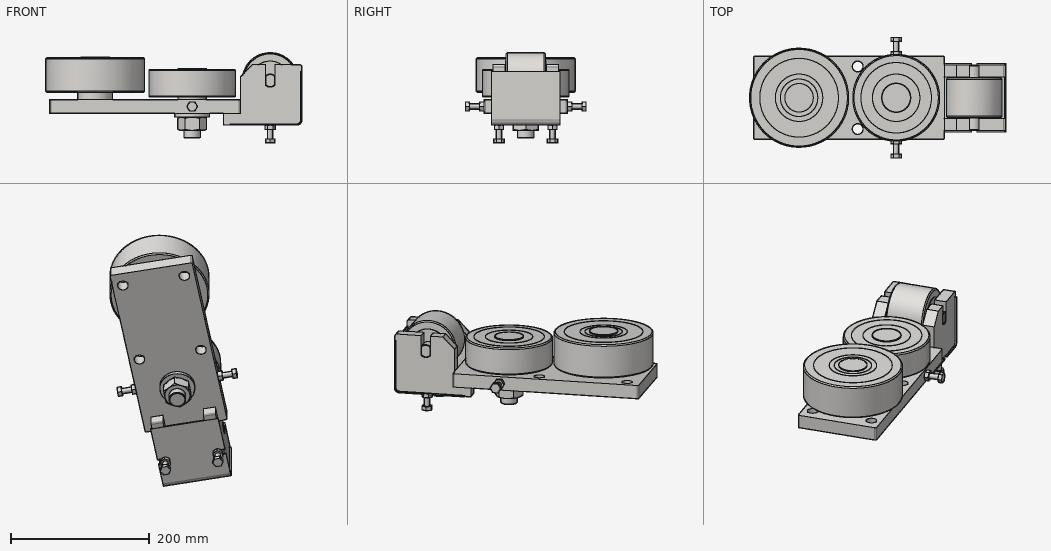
import cadquery as cq
import math


plate_start_x = 6.0
plate_end_x = 281.0
plate_width = 120.0
plate_thickness = 20.0
plate_bottom_z = 42.5
plate_top_z = plate_bottom_z + plate_thickness
plate_corner_radius = 2.2
mounting_hole_diameter = 15.0
mounting_hole_spacing_x = 129.7
mounting_hole_last_x = 156.0
mounting_hole_y = 45.0

arm_end_x = 369.5
arm_foot_x = 256.5
arm_bottom_z = 25.5
arm_top_z = 112.7
arm_outer_width = 94.5
arm_gap = 59.0
arm_chamfer = 17.5
arm_top_radius = 3.5
arm_toe_radius = 1.5

axle_x = 323.8
axle_z = 89.8
axle_diameter = 19.0
axle_flat_width = 13.5
axle_length = 93.0
axle_chamfer = 0.7

roller_diameter = 80.5
roller_width = 57.0
roller_hub_diameter = 56.0
roller_hub_width = 58.0

guard_thickness = 2.0
guard_width = 99.0
guard_start_x = 265.7
guard_top_z = 103.0
guard_bend_radius = 7.5

rim_chamfer = 2.0
face_step = 0.5
bearing_ring_diameter = 68.5
pin_diameter = 41.0
pin_rise = 1.0

large_wheel_diameter = 143.0
large_wheel_x = large_wheel_diameter / 2
large_wheel_bottom_z = 72.8
large_wheel_width = 50.0
large_cover_diameter = 113.5
large_stud_diameter = 50.5
large_bore_diameter = 54.0

small_wheel_diameter = 125.3
small_wheel_x = 211.5
small_wheel_bottom_z = 65.8
small_wheel_width = 40.3
small_cover_diameter = 101.5
small_bore_diameter = 42.0

stud_diameter = 24.0
stud_end_z = 7.0
stud_end_chamfer = 1.0
washer_diameter = 50.5
washer_thickness = 5.5
nut_across_flats = 36.2
nut_height = 19.0

screw_diameter = 8.0
screw_across_flats = 13.3
screw_head_height = 6.0
lock_nut_height = 6.3
side_screw_span = 174.0
side_screw_head_y = side_screw_span / 2
arm_screw_y = 38.5


def cylinder(diameter, height, x, z):
    return cq.Workplane("XY", origin=(x, 0, z)).circle(diameter / 2).extrude(height)


def cross_cylinder(diameter, length):
    """Cylinder along Y on the roller axis, centred on the plane of symmetry."""
    end_plane = cq.Workplane("XZ", origin=(axle_x, length / 2, axle_z))
    return end_plane.circle(diameter / 2).extrude(length)


def hexagon(across_flats, height, turn=0):
    """Hexagonal prism on Z = 0 with two corners on the X axis before it is turned about Z."""
    corner_diameter = 2 * across_flats / math.sqrt(3)
    prism = cq.Workplane("XY").polygon(6, corner_diameter).extrude(height)
    return prism.rotate((0, 0, 0), (0, 0, 1), turn)


def hex_nut(across_flats, height, bevelled_faces):
    """Hexagon whose corners are bevelled down to the flats at the chosen end faces."""
    corner_radius = across_flats / math.sqrt(3)
    bevel_depth = corner_radius - across_flats / 2
    bevel_height = bevel_depth / math.sqrt(3)
    envelope = cq.Workplane("XY").circle(corner_radius).extrude(height)
    envelope = envelope.faces(bevelled_faces).chamfer(bevel_height, bevel_depth)
    return hexagon(across_flats, height).intersect(envelope)


def adjusting_screw(length, seat, head_turn):
    """Screw along +Z: head on Z = 0, tip at `length`, lock nut ending at `seat`."""
    head = hexagon(screw_across_flats, screw_head_height, head_turn)
    shank = cq.Workplane("XY").circle(screw_diameter / 2).extrude(length)
    lock_nut = hex_nut(screw_across_flats, lock_nut_height, ">Z").translate((0, 0, seat - lock_nut_height))
    return head.union(shank).union(lock_nut)


def make_plate():
    length = plate_end_x - plate_start_x
    plate = cq.Workplane("XY", origin=(plate_start_x, 0, plate_bottom_z))
    plate = plate.box(length, plate_width, plate_thickness, centered=(False, True, False))
    plate = plate.edges("|Z").fillet(plate_corner_radius)
    mounting_holes = [
        (x, y)
        for x in (mounting_hole_last_x - mounting_hole_spacing_x, mounting_hole_last_x)
        for y in (-mounting_hole_y, mounting_hole_y)
    ]
    drills = cq.Workplane("XY", origin=(0, 0, plate_bottom_z)).pushPoints(mounting_holes)
    plate = plate.cut(drills.circle(mounting_hole_diameter / 2).extrude(plate_thickness))
    return plate.cut(cylinder(stud_diameter, plate_thickness, small_wheel_x, plate_bottom_z))


def make_arms():
    """Both arms: one L-shaped outline with an axle slot, split by the gap between the arms."""
    outline = (
        cq.Workplane("XZ")
        .moveTo(arm_foot_x, arm_bottom_z)
        .lineTo(arm_end_x, arm_bottom_z)
        .lineTo(arm_end_x, arm_top_z)
        .lineTo(plate_end_x + arm_chamfer, arm_top_z)
        .lineTo(plate_end_x, arm_top_z - arm_chamfer)
        .lineTo(plate_end_x, plate_bottom_z)
        .lineTo(arm_foot_x, plate_bottom_z)
        .close()
    )
    block = outline.extrude(arm_outer_width / 2, both=True)
    block = block.edges("|Y and >X and >Z").fillet(arm_top_radius)
    block = block.edges("|Y and <X and <Z").fillet(arm_toe_radius)
    gap = cq.Workplane("XY", origin=(arm_foot_x, 0, arm_bottom_z)).box(
        arm_end_x - arm_foot_x, arm_gap, arm_top_z - arm_bottom_z, centered=(False, True, False)
    )
    slot = cq.Workplane("XY", origin=(axle_x, 0, axle_z)).box(
        axle_flat_width, arm_outer_width, arm_top_z - axle_z, centered=(True, True, False)
    )
    return block.cut(gap).cut(slot).cut(axle_bar(arm_outer_width))


def axle_bar(length):
    """Round bar along Y with two flats that guide it in the slots."""
    flats = cq.Workplane("XY", origin=(axle_x, 0, axle_z)).box(axle_flat_width, length, axle_diameter)
    return cross_cylinder(axle_diameter, length).intersect(flats)


def make_guard_blank():
    """Bent sheet before notching, with the bend at the lower back corner."""
    inner_radius = guard_bend_radius - guard_thickness
    outline = (
        cq.Workplane("XZ")
        .moveTo(guard_start_x, arm_bottom_z)
        .lineTo(arm_end_x - guard_bend_radius, arm_bottom_z)
        .radiusArc((arm_end_x, arm_bottom_z + guard_bend_radius), -guard_bend_radius)
        .lineTo(arm_end_x, guard_top_z)
        .lineTo(arm_end_x - guard_thickness, guard_top_z)
        .lineTo(arm_end_x - guard_thickness, arm_bottom_z + guard_bend_radius)
        .radiusArc((arm_end_x - guard_bend_radius, arm_bottom_z + guard_thickness), inner_radius)
        .lineTo(guard_start_x, arm_bottom_z + guard_thickness)
        .close()
    )
    return outline.extrude(guard_width / 2, both=True)


def make_guard():
    """Guard sheet with a notch from each side edge that clears an arm screw."""
    guard = make_guard_blank()
    for side in (-1, 1):
        notch = cq.Workplane("XY", origin=(axle_x, side * guard_width / 2, arm_bottom_z)).slot2D(
            guard_width - 2 * arm_screw_y + screw_diameter, screw_diameter, 90
        )
        guard = guard.cut(notch.extrude(guard_thickness))
    return guard


def guard_recess():
    """Space the guard takes out of the arms, including the corner outside its bend."""
    corner = cq.Workplane("XY", origin=(arm_end_x - guard_bend_radius, 0, arm_bottom_z)).box(
        guard_bend_radius, guard_width, guard_bend_radius, centered=(False, True, False)
    )
    bend = cq.Workplane("XZ", origin=(arm_end_x - guard_bend_radius, 0, arm_bottom_z + guard_bend_radius))
    corner = corner.cut(bend.circle(guard_bend_radius).extrude(guard_width / 2, both=True))
    return make_guard_blank().union(corner)


def make_frame():
    """Plate, arms and their adjusting screws as one welded body."""
    frame = make_plate().union(make_arms().cut(guard_recess()))

    arm_screw = adjusting_screw(plate_bottom_z, arm_bottom_z, 90)
    for side in (-1, 1):
        frame = frame.union(arm_screw.translate((axle_x, side * arm_screw_y, 0)))

    seat = side_screw_head_y - plate_width / 2
    side_screw = adjusting_screw(seat + lock_nut_height, seat, 0)
    side_screw = side_screw.rotate((0, 0, 0), (1, 0, 0), -90)
    plate_middle_z = plate_bottom_z + plate_thickness / 2
    side_screw = side_screw.translate((small_wheel_x, -side_screw_head_y, plate_middle_z))
    return frame.union(side_screw).union(side_screw.mirror("XZ"))


def wheel(diameter, width, cover_diameter, bore_diameter, x, bottom_z):
    """Wheel with a shallow cover recess, a bearing ring and a raised pin end on its top face."""
    top_z = bottom_z + width
    floor_z = top_z - face_step
    body = cylinder(diameter, width, x, bottom_z).edges().chamfer(rim_chamfer)
    body = body.cut(cylinder(cover_diameter, face_step, x, floor_z))
    ring = cylinder(bearing_ring_diameter, face_step, x, floor_z)
    ring = ring.cut(cylinder(bore_diameter, face_step, x, floor_z))
    pin = cylinder(pin_diameter, width + pin_rise, x, bottom_z)
    return body.union(ring).union(pin)


def make_large_wheel():
    body = wheel(
        large_wheel_diameter,
        large_wheel_width,
        large_cover_diameter,
        large_bore_diameter,
        large_wheel_x,
        large_wheel_bottom_z,
    )
    stud = cylinder(large_stud_diameter, large_wheel_bottom_z - plate_top_z, large_wheel_x, plate_top_z)
    return body.union(stud)


def make_small_wheel():
    """Small wheel with its shoulder above the plate and its stud, washer and nut below."""
    body = wheel(
        small_wheel_diameter,
        small_wheel_width,
        small_cover_diameter,
        small_bore_diameter,
        small_wheel_x,
        small_wheel_bottom_z,
    )
    shoulder = cylinder(pin_diameter, small_wheel_bottom_z - plate_top_z, small_wheel_x, plate_top_z)
    stud = cylinder(stud_diameter, plate_top_z - stud_end_z, small_wheel_x, stud_end_z)
    stud = stud.faces("<Z").chamfer(stud_end_chamfer)
    washer_z = plate_bottom_z - washer_thickness
    washer = cylinder(washer_diameter, washer_thickness, small_wheel_x, washer_z)
    nut = hex_nut(nut_across_flats, nut_height, "<Z or >Z")
    nut = nut.translate((small_wheel_x, 0, washer_z - nut_height))
    return body.union(shoulder).union(stud).union(washer).union(nut)


def make_roller():
    rim = cross_cylinder(roller_diameter, roller_width).edges().chamfer(rim_chamfer)
    hub = cross_cylinder(roller_hub_diameter, roller_hub_width)
    return rim.union(hub).cut(axle_bar(axle_length))


def make_axle():
    return axle_bar(axle_length).faces("<Y or >Y").chamfer(axle_chamfer)


frame = make_frame()
guard = make_guard()
large_wheel = make_large_wheel()
small_wheel = make_small_wheel()
roller = make_roller()
axle = make_axle()

result = cq.Compound.makeCompound(
    [frame.val(), guard.val(), large_wheel.val(), small_wheel.val(), roller.val(), axle.val()]
)